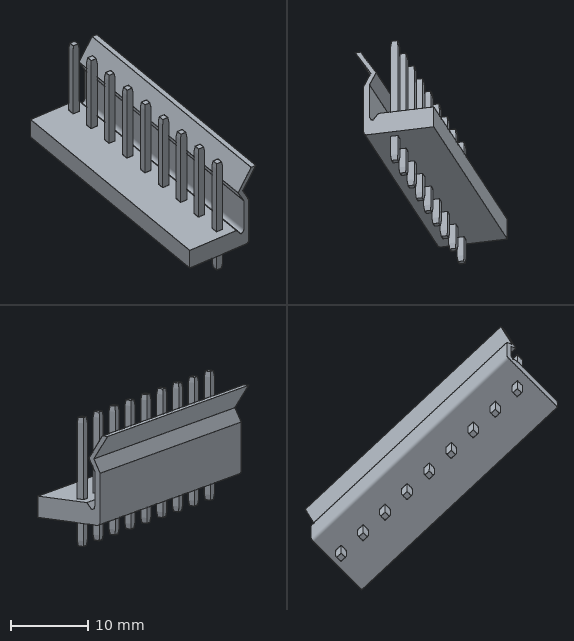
import cadquery as cq


length = 35.25
depth = 10.57
base_height = 2.85
heel_radius = 0.5

wall_rear = 9.45
wall_front = 8.65
wall_rear_top = 6.98
wall_front_top = 7.12
latch_thickness = 0.78
nose_front = 7.7
nose_height = 8.77
latch_top = 11.98

groove_front = 7.45
groove_bottom_y = 8.18
groove_bottom = 2.0
groove_rear = 2.6

pin_count = 9
end_pin_margin = 1.75
pin_pitch = (length - 2 * end_pin_margin) / (pin_count - 1)
pin_width = 1.0
pin_y = 5.67
pin_bottom = -3.42
pin_length = 17.1
tip_length = 0.75
tip_width = 0.78


def make_housing():
    """Base, groove and bent latch wall as one profile extruded along X."""
    profile = (
        cq.Workplane("YZ")
        .moveTo(groove_bottom_y, groove_bottom)
        .lineTo(groove_front, base_height)
        .lineTo(0, base_height)
        .lineTo(0, 0)
        .lineTo(wall_rear, 0)
        .lineTo(wall_rear, wall_rear_top)
        .lineTo(nose_front + latch_thickness, nose_height)
        .lineTo(depth, latch_top)
        .lineTo(depth - latch_thickness, latch_top)
        .lineTo(nose_front, nose_height)
        .lineTo(wall_front, wall_front_top)
        .lineTo(wall_front, groove_rear)
        .tangentArcPoint((groove_bottom_y, groove_bottom), relative=False)
        .close()
    )
    housing = profile.extrude(length)
    heel = cq.selectors.NearestToPointSelector((length / 2, wall_rear, 0))
    return housing.edges(heel).fillet(heel_radius)


def make_tip(pin_x, root_height, direction):
    """Tapered pin end; direction is +1 for up and -1 for down."""
    return (
        cq.Workplane("XY", origin=(pin_x, pin_y, root_height))
        .rect(pin_width, pin_width)
        .workplane(offset=direction * tip_length)
        .rect(tip_width, tip_width)
        .loft(ruled=True)
    )


def make_pin(pin_x):
    """Square pin with a tapered tip at both ends."""
    shank_bottom = pin_bottom + tip_length
    shank_length = pin_length - 2 * tip_length
    shank = (
        cq.Workplane("XY", origin=(pin_x, pin_y, shank_bottom))
        .rect(pin_width, pin_width)
        .extrude(shank_length)
    )
    upper_tip = make_tip(pin_x, shank_bottom + shank_length, 1)
    lower_tip = make_tip(pin_x, shank_bottom, -1)
    return shank.union(upper_tip).union(lower_tip)


result = make_housing()
for index in range(pin_count):
    result = result.union(make_pin(end_pin_margin + index * pin_pitch))